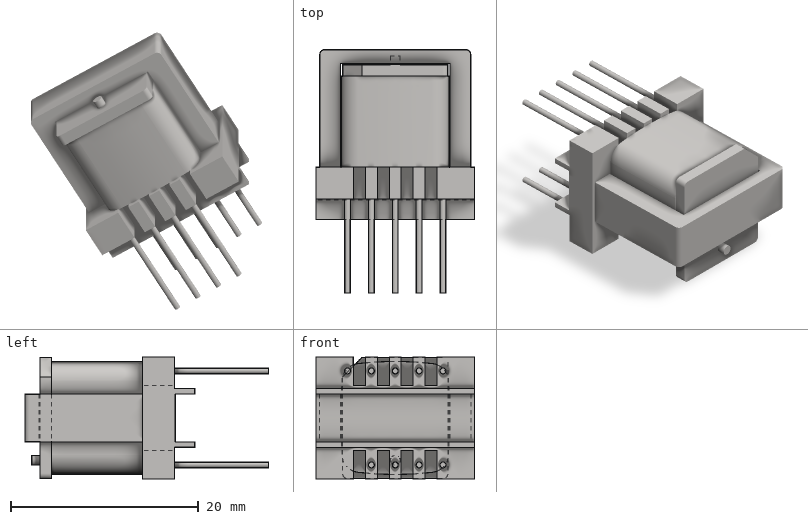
import cadquery as cq

OVERALL_LENGTH = 25.92
CORE_HEIGHT = 5.08

BASE_WIDTH = 16.9
BASE_DEPTH = 3.42
BASE_HEIGHT = 13.0
SLOT_WIDTH = 1.27
SLOT_FLOOR_Z = 3.47
RIB_GAP = CORE_HEIGHT
RIB_LENGTH = 2.18
RIB_THICKNESS = 0.6
FACE_STEP = 0.08

PIN_DIAMETER = 0.62
PIN_LENGTH = 10.0
PIN_PITCH = 2.55
PIN_ROW_Z = 5.0
PIN_COUNT = 5

CORE_WIDTH = 16.07
CORE_LENGTH = OVERALL_LENGTH - PIN_LENGTH - BASE_DEPTH
CORE_CORNER_RADIUS = 0.52
WINDOW_WIDTH = 11.6
YOKE_THICKNESS = 1.48

FLANGE_CLEARANCE = 0.1
FLANGE_WIDTH = 11.2
FLANGE_HEIGHT = 12.9
FLANGE_THICKNESS = 1.25
FLANGE_CHAMFER = 2.07
FLANGE_FILLET = 0.52
PEG_RADIUS = 0.52
PEG_LENGTH = 0.88
PEG_Z = -4.5

WINDING_HALF_WIDTH = 5.68
WINDING_HALF_HEIGHT = 5.78
WINDING_FACE_HALF = 3.97
WINDING_SIDE_BULGE = 0.08
WINDING_TOP_BULGE = 0.23
WINDING_CORNER_RADIUS = 1.95

core_back_y = BASE_DEPTH + CORE_LENGTH
flange_back_y = core_back_y - YOKE_THICKNESS - FLANGE_CLEARANCE
winding_end_y = flange_back_y - FLANGE_THICKNESS


def block(width, height, y_start, y_end):
    """Block centred on the Y axis between two Y positions."""
    middle_y = (y_start + y_end) / 2
    return cq.Workplane("XY").box(width, y_end - y_start, height).translate((0, middle_y, 0))


def rod(radius, x, z, y_start, y_end):
    """Round rod along Y between two Y positions."""
    solid = cq.Solid.makeCylinder(radius, y_end - y_start, cq.Vector(x, y_start, z), cq.Vector(0, 1, 0))
    return cq.Workplane(solid)


def row_positions(count):
    """X positions of a row centred on X = 0 at the pin pitch."""
    return [(index - (count - 1) / 2) * PIN_PITCH for index in range(count)]


def make_base():
    """Base block with slots open to its top and bottom, and two long ribs on its front."""
    base = block(BASE_WIDTH, BASE_HEIGHT, 0, BASE_DEPTH)
    base = base.union(block(BASE_WIDTH, RIB_GAP, -FACE_STEP, 0))
    slot_depth = BASE_HEIGHT / 2 - SLOT_FLOOR_Z
    slot = block(SLOT_WIDTH, slot_depth, 0, BASE_DEPTH)
    rib = block(BASE_WIDTH, RIB_THICKNESS, -RIB_LENGTH, 0)
    for side in (-1, 1):
        slot_z = side * (SLOT_FLOOR_Z + slot_depth / 2)
        for slot_x in row_positions(PIN_COUNT - 1):
            base = base.cut(slot.translate((slot_x, 0, slot_z)))
        rib_z = side * (RIB_GAP + RIB_THICKNESS) / 2
        base = base.union(rib.translate((0, 0, rib_z)))
    return base


def make_winding():
    """Winding from the base to the flange; its outline runs clockwise from the top left."""
    width = WINDING_HALF_WIDTH
    height = WINDING_HALF_HEIGHT
    face = WINDING_FACE_HALF
    top = height + WINDING_TOP_BULGE
    side = width + WINDING_SIDE_BULGE
    outline = (
        cq.Workplane("XZ", origin=(0, winding_end_y, 0))
        .moveTo(-face, height)
        .threePointArc((0, top), (face, height))
        .radiusArc((width, face), WINDING_CORNER_RADIUS)
        .threePointArc((side, 0), (width, -face))
        .radiusArc((face, -height), WINDING_CORNER_RADIUS)
        .threePointArc((0, -top), (-face, -height))
        .radiusArc((-width, -face), WINDING_CORNER_RADIUS)
        .threePointArc((-side, 0), (-width, face))
        .radiusArc((-face, height), WINDING_CORNER_RADIUS)
        .close()
    )
    return outline.extrude(winding_end_y - BASE_DEPTH)


def make_flange():
    """Flange with one large chamfered corner at -X +Z and three rounded corners."""
    flange = block(FLANGE_WIDTH, FLANGE_HEIGHT, winding_end_y, flange_back_y)
    flange = flange.edges("|Y and <X").edges(">Z").chamfer(FLANGE_CHAMFER)
    flange = flange.edges("|Y").edges(">X or <Z").fillet(FLANGE_FILLET)
    return flange.union(rod(PEG_RADIUS, 0, PEG_Z, flange_back_y, flange_back_y + PEG_LENGTH))


def make_bobbin():
    """Base, pins, winding and flange as one solid."""
    bobbin = make_base().union(make_winding()).union(make_flange())
    for index, pin_x in enumerate(row_positions(PIN_COUNT)):
        rows = (PIN_ROW_Z,) if index == 0 else (PIN_ROW_Z, -PIN_ROW_Z)
        for pin_z in rows:
            bobbin = bobbin.union(rod(PIN_DIAMETER / 2, pin_x, pin_z, -PIN_LENGTH, 0))
    return bobbin


def make_core():
    """U-shaped core around the winding, its legs ending on the base."""
    core = block(CORE_WIDTH, CORE_HEIGHT, BASE_DEPTH, core_back_y)
    core = core.edges("|Z and >Y").fillet(CORE_CORNER_RADIUS)
    window = block(WINDOW_WIDTH, CORE_HEIGHT, BASE_DEPTH, core_back_y - YOKE_THICKNESS)
    return core.cut(window)


bobbin = make_bobbin()
core = make_core()
result = cq.Compound.makeCompound([bobbin.val(), core.val()])